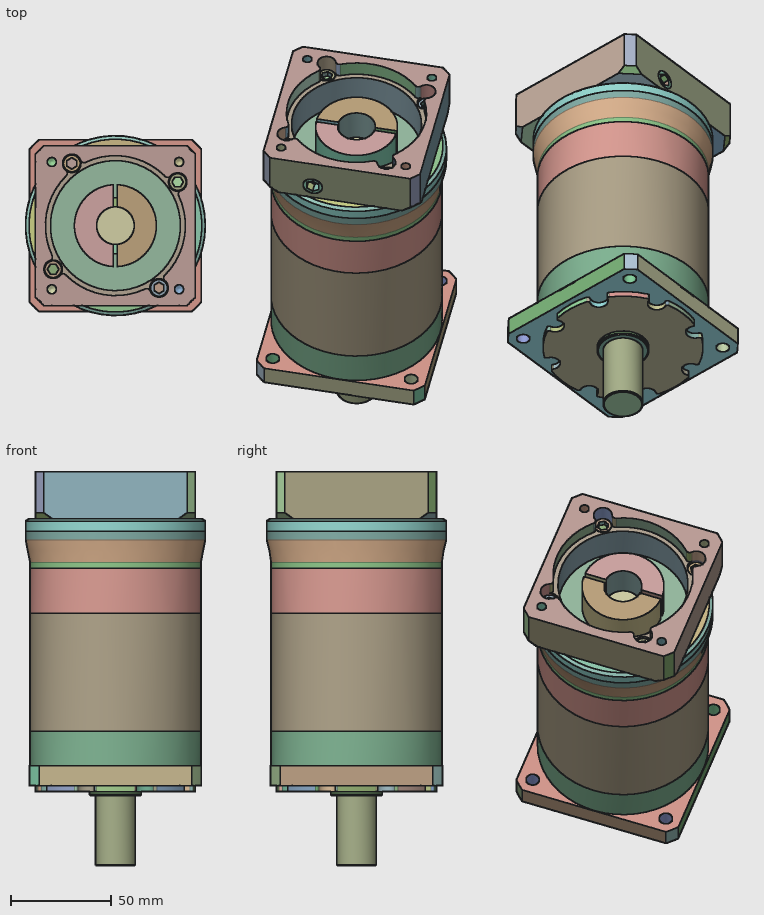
import cadquery as cq
import math

COLLAR_BOTTOM = 35.0
PILOT_BOTTOM = 37.0
FLANGE_BOTTOM = 40.0
FLANGE_TOP = 50.0
OUTPUT_TOP = 67.3
RING_GEAR_TOP = 126.2
INTERMEDIATE_TOP = 148.8
TAPER_BOTTOM = 151.8
TAPER_TOP = 163.0
INPUT_TOP = 167.3
DISC_TOP = 173.5
PLATE_TOP = 197.0

SHAFT_RADIUS = 10.0
SHAFT_CHAMFER = 0.5
COLLAR_RADIUS = 13.0
COLLAR_CHAMFER = 0.6
PILOT_RADIUS = 40.0
PILOT_NOTCH_COUNT = 8
PILOT_FILLET = 1.2
BODY_RADIUS = 42.8
FLANGE_SIDE = 86.0
FLANGE_CORNER_RADIUS = 57.5
FLANGE_HOLE_CIRCLE_RADIUS = 50.0
FLANGE_HOLE_DIAMETER = 6.6

SCREW_CIRCLE_RADIUS = 38.0
POCKET_RADIUS = 4.6

DISC_RADIUS = 45.0
DISC_CHAMFER_WIDTH = 1.8
DISC_CHAMFER_HEIGHT = 1.2
PLATE_SIDE = 80.0
PLATE_CORNER = 4.2
PLATE_UNDERCUT = 2.9
RECESS_RADIUS = 35.0
RECESS_DEPTH = 8.0
RECESS_FILLET = 1.8
BORE_RADIUS = 32.5
MOTOR_HOLE_CIRCLE_RADIUS = 45.0
MOTOR_HOLE_DIAMETER = 4.5
MOTOR_HOLE_DEPTH = 12.0
DRILL_POINT_ANGLE = 118.0
SCREW_COUNT = 4
SCREW_START_ANGLE = 35.0
SCREW_HEAD_RADIUS = 4.2
SCREW_HEAD_TOP = PLATE_TOP - 9.0
SCREW_HEAD_HEIGHT = 5.0
SCREW_HEX_FLATS = 4.9
SCREW_HEX_DEPTH = 3.0
PLUG_Y = 14.0
PLUG_Z = PLATE_TOP - 15.7
PLUG_RADIUS = 4.9
PLUG_SINK = 0.1
PLUG_HEX_FLATS = 6.1
PLUG_HEX_DEPTH = 5.0

SPIGOT_TOP = 170.0
HUB_TOP = PLATE_TOP - 9.7
HUB_RADIUS = 20.5
HUB_BORE_RADIUS = 9.4
HUB_SLOT_WIDTH = 2.0
HUB_SLOT_STEP_RADIUS = 14.0
HUB_SLOT_STEP_HEIGHT = 1.0

TOLERANCE = 1e-3


def cylinder(radius, bottom, top):
    return cq.Workplane("XY").workplane(offset=bottom).circle(radius).extrude(top - bottom)


def polar_points(radius, count, start_angle):
    """Points evenly spaced on a circle about the Z axis."""
    angles = [math.radians(start_angle + i * 360 / count) for i in range(count)]
    return [(radius * math.cos(a), radius * math.sin(a)) for a in angles]


def block(size_x, size_y, bottom, top):
    return cq.Workplane("XY").workplane(offset=bottom).rect(size_x, size_y).extrude(top - bottom)


def cylinders_at(points, radius, bottom, top):
    return cq.Workplane("XY").workplane(offset=bottom).pushPoints(points).circle(radius).extrude(top - bottom)


def corner_points(circle_radius):
    """Four points on the diagonals."""
    return polar_points(circle_radius, 4, 45)


def hexagon_corner_diameter(across_flats):
    return across_flats / math.cos(math.radians(30))


def rim_corners(solid, rim_radius, pocket_radius, points):
    """Vertical edges where pockets of the given radius break through a round wall."""

    def on_rim_and_pocket(edge):
        c = edge.Center()
        on_rim = abs(math.hypot(c.x, c.y) - rim_radius) < TOLERANCE
        distances = [math.hypot(c.x - x, c.y - y) for x, y in points]
        return on_rim and any(abs(d - pocket_radius) < TOLERANCE for d in distances)

    return solid.newObject([e for e in solid.edges("|Z").vals() if on_rim_and_pocket(e)])


def make_pilot():
    """Centring pilot with round notches in its rim."""
    pitch = 360 / PILOT_NOTCH_COUNT
    points = polar_points(SCREW_CIRCLE_RADIUS, PILOT_NOTCH_COUNT, pitch / 2)
    pilot = cylinder(PILOT_RADIUS, PILOT_BOTTOM, FLANGE_BOTTOM)
    pilot = pilot.cut(cylinders_at(points, POCKET_RADIUS, PILOT_BOTTOM, FLANGE_BOTTOM))
    return rim_corners(pilot, PILOT_RADIUS, POCKET_RADIUS, points).fillet(PILOT_FILLET)


def make_output_housing():
    """Square mounting flange with its round body, pilot, collar and output shaft."""
    flange = block(FLANGE_SIDE, FLANGE_SIDE, FLANGE_BOTTOM, FLANGE_TOP)
    flange = flange.intersect(cylinder(FLANGE_CORNER_RADIUS, FLANGE_BOTTOM, FLANGE_TOP))
    holes = cylinders_at(
        corner_points(FLANGE_HOLE_CIRCLE_RADIUS), FLANGE_HOLE_DIAMETER / 2, FLANGE_BOTTOM, FLANGE_TOP
    )
    flange = flange.cut(holes)
    shaft = cylinder(SHAFT_RADIUS, 0, PILOT_BOTTOM).faces("<Z").chamfer(SHAFT_CHAMFER)
    collar = cylinder(COLLAR_RADIUS, COLLAR_BOTTOM, PILOT_BOTTOM).faces("<Z").chamfer(COLLAR_CHAMFER)
    body = cylinder(BODY_RADIUS, FLANGE_TOP, OUTPUT_TOP)
    return flange.union(body).union(make_pilot()).union(collar).union(shaft)


def make_ring_gear():
    return cylinder(BODY_RADIUS, OUTPUT_TOP, RING_GEAR_TOP)


def make_intermediate_ring():
    return cylinder(BODY_RADIUS, RING_GEAR_TOP, INTERMEDIATE_TOP)


def make_hub():
    """Clamping hub, split across its diameter along Y."""
    hub = cylinder(HUB_RADIUS, SPIGOT_TOP, HUB_TOP).cut(cylinder(HUB_BORE_RADIUS, SPIGOT_TOP, HUB_TOP))
    slot = block(HUB_SLOT_WIDTH, 2 * HUB_RADIUS, SPIGOT_TOP, HUB_TOP)
    step_top = SPIGOT_TOP + HUB_SLOT_STEP_HEIGHT
    slot = slot.cut(block(HUB_SLOT_WIDTH, 2 * HUB_SLOT_STEP_RADIUS, SPIGOT_TOP, step_top))
    return hub.cut(slot)


def make_input_housing():
    """Flared housing carrying the spigot that centres the adapter and the clamping hub."""
    profile = [
        (0, INTERMEDIATE_TOP),
        (BODY_RADIUS, INTERMEDIATE_TOP),
        (BODY_RADIUS, TAPER_BOTTOM),
        (DISC_RADIUS, TAPER_TOP),
        (DISC_RADIUS, INPUT_TOP),
        (BORE_RADIUS, INPUT_TOP),
        (BORE_RADIUS, SPIGOT_TOP),
        (0, SPIGOT_TOP),
    ]
    housing = cq.Workplane("XZ").polyline(profile).close().revolve(360, (0, 0, 0), (0, 1, 0))
    return housing.union(make_hub())


def make_adapter_blank():
    """Round disc under a square plate whose overhanging corners are bevelled below."""
    disc_profile = [
        (0, INPUT_TOP),
        (DISC_RADIUS, INPUT_TOP),
        (DISC_RADIUS, DISC_TOP - DISC_CHAMFER_HEIGHT),
        (DISC_RADIUS - DISC_CHAMFER_WIDTH, DISC_TOP),
        (0, DISC_TOP),
    ]
    disc = cq.Workplane("XZ").polyline(disc_profile).close().revolve(360, (0, 0, 0), (0, 1, 0))
    plate = block(PLATE_SIDE, PLATE_SIDE, DISC_TOP, PLATE_TOP)
    plate = plate.edges("|Z").chamfer(PLATE_CORNER)
    for direction in [(1, 1, 0), (1, -1, 0), (-1, 1, 0), (-1, -1, 0)]:
        corner_face = plate.faces(cq.selectors.DirectionNthSelector(cq.Vector(*direction), -1))
        plate = corner_face.edges("<Z").chamfer(PLATE_UNDERCUT)
    return plate.union(disc)


def cut_recess(adapter, screw_points):
    """Motor pilot recess with rounded openings into the screw pockets, and the through bore."""
    ledge = PLATE_TOP - RECESS_DEPTH
    recess = cylinder(RECESS_RADIUS, ledge, PLATE_TOP)
    recess = recess.union(cylinders_at(screw_points, POCKET_RADIUS, ledge, PLATE_TOP))
    recess = rim_corners(recess, RECESS_RADIUS, POCKET_RADIUS, screw_points).fillet(RECESS_FILLET)
    pockets = cylinders_at(screw_points, POCKET_RADIUS, SCREW_HEAD_TOP - SCREW_HEAD_HEIGHT, ledge)
    return adapter.cut(recess).cut(pockets).cut(cylinder(BORE_RADIUS, INPUT_TOP, PLATE_TOP))


def make_screw_head(x, y, turn):
    bottom = SCREW_HEAD_TOP - SCREW_HEAD_HEIGHT
    head = cylinder(SCREW_HEAD_RADIUS, bottom, SCREW_HEAD_TOP)
    socket = (
        cq.Workplane("XY")
        .workplane(offset=SCREW_HEAD_TOP - SCREW_HEX_DEPTH)
        .polygon(6, hexagon_corner_diameter(SCREW_HEX_FLATS))
        .extrude(SCREW_HEX_DEPTH)
    )
    return head.cut(socket).rotate((0, 0, 0), (0, 0, 1), turn).translate((x, y, 0))


def cut_motor_holes(adapter):
    """Blind drilled holes for the motor screws."""
    radius = MOTOR_HOLE_DIAMETER / 2
    point_depth = radius / math.tan(math.radians(DRILL_POINT_ANGLE / 2))
    profile = [
        (0, PLATE_TOP),
        (radius, PLATE_TOP),
        (radius, PLATE_TOP - MOTOR_HOLE_DEPTH),
        (0, PLATE_TOP - MOTOR_HOLE_DEPTH - point_depth),
    ]
    hole = cq.Workplane("XZ").polyline(profile).close().revolve(360, (0, 0, 0), (0, 1, 0))
    for x, y in corner_points(MOTOR_HOLE_CIRCLE_RADIUS):
        adapter = adapter.cut(hole.translate((x, y, 0)))
    return adapter


def cut_access_plug(adapter):
    """Slightly sunk round plug face with a hexagon socket, on the -X side."""
    face = cq.Workplane("YZ", origin=(-PLATE_SIDE / 2, PLUG_Y, PLUG_Z))
    sink = face.circle(PLUG_RADIUS).extrude(PLUG_SINK)
    socket = face.polygon(6, hexagon_corner_diameter(PLUG_HEX_FLATS)).extrude(PLUG_HEX_DEPTH)
    socket = socket.rotate((0, PLUG_Y, PLUG_Z), (1, PLUG_Y, PLUG_Z), 30)
    return adapter.cut(sink).cut(socket)


def make_motor_adapter():
    screw_points = polar_points(SCREW_CIRCLE_RADIUS, SCREW_COUNT, SCREW_START_ANGLE)
    adapter = cut_recess(make_adapter_blank(), screw_points)
    for i, (x, y) in enumerate(screw_points):
        adapter = adapter.union(make_screw_head(x, y, i * 360 / SCREW_COUNT))
    return cut_access_plug(cut_motor_holes(adapter))


output_housing = make_output_housing()
ring_gear = make_ring_gear()
intermediate_ring = make_intermediate_ring()
input_housing = make_input_housing()
motor_adapter = make_motor_adapter()

result = cq.Compound.makeCompound(
    [
        output_housing.solids().val(),
        ring_gear.val(),
        intermediate_ring.val(),
        input_housing.solids().val(),
        motor_adapter.solids().val(),
    ]
)